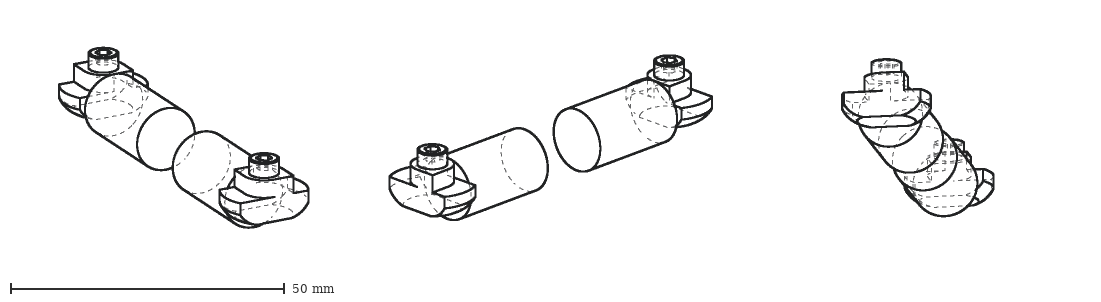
import cadquery as cq
import math

overall_length = 69.64

shank_diameter = 12.0
shank_length = 20.0

nut_width = 8.0
nut_diameter = 16.25
neck_height = 3.4
rim_depth = 5.68
nut_height = 8.2
underside_diameter = 10.8
underside_arc_radius = 5.0

screw_diameter = 5.5
screw_tip_diameter = 4.92
screw_height = 2.9
screw_chamfer_angle = 30.0
socket_across_flats = 2.5
socket_depth = 2.0

nut_top = shank_diameter / 2
nut_radius = nut_diameter / 2
nut_half = nut_width / 2
plate_top = nut_top - neck_height
rim_bottom = nut_top - rim_depth
nut_bottom = nut_top - nut_height
nut_center_x = -overall_length / 2 + nut_half
shank_start_x = nut_center_x + nut_half


def make_shank():
    """Plain round bar running inward from the nut."""
    return (
        cq.Workplane("YZ")
        .workplane(offset=shank_start_x)
        .circle(shank_diameter / 2)
        .extrude(shank_length)
    )


def make_plate():
    """Turned plate with a rounded underside, cut to the nut width by two flat sides."""
    turned = (
        cq.Workplane("XZ")
        .moveTo(0, plate_top)
        .lineTo(nut_radius, plate_top)
        .lineTo(nut_radius, rim_bottom)
        .radiusArc((underside_diameter / 2, nut_bottom), underside_arc_radius)
        .lineTo(0, nut_bottom)
        .close()
        .revolve(360, (0, 0, 0), (0, 1, 0))
    )
    flat_sides = cq.Workplane("XY").box(nut_width, nut_diameter, 2 * nut_height)
    return turned.intersect(flat_sides)


def make_neck():
    """Square neck with two opposite corners rounded, so the nut can turn in its slot."""
    corner = nut_half * math.sqrt(0.5)
    return (
        cq.Workplane("XY")
        .workplane(offset=plate_top)
        .moveTo(-nut_half, -nut_half)
        .lineTo(0, -nut_half)
        .threePointArc((corner, -corner), (nut_half, 0))
        .lineTo(nut_half, nut_half)
        .lineTo(0, nut_half)
        .threePointArc((-corner, corner), (-nut_half, 0))
        .close()
        .extrude(neck_height)
    )


def make_screw():
    """Screw end with a chamfered rim and a hexagon socket."""
    chamfer_width = (screw_diameter - screw_tip_diameter) / 2
    chamfer_height = chamfer_width * math.tan(math.radians(screw_chamfer_angle))
    socket_across_corners = socket_across_flats / math.cos(math.radians(30))
    screw = (
        cq.Workplane("XY")
        .workplane(offset=nut_top)
        .circle(screw_diameter / 2)
        .extrude(screw_height)
        .faces(">Z")
        .chamfer(chamfer_height, chamfer_width)
    )
    socket = (
        cq.Workplane("XY")
        .workplane(offset=nut_top + screw_height - socket_depth)
        .polygon(6, socket_across_corners)
        .extrude(socket_depth)
    )
    return screw.cut(socket)


def make_fastener():
    """One fastener: nut, screw and shank in a single solid, on the -X side."""
    nut = make_plate().union(make_neck()).union(make_screw())
    return nut.translate((nut_center_x, 0, 0)).union(make_shank())


fasteners = []
for turn in (0, 180):
    fastener = make_fastener().rotate((0, 0, 0), (0, 0, 1), turn)
    fasteners.append(fastener.val())

result = cq.Compound.makeCompound(fasteners)